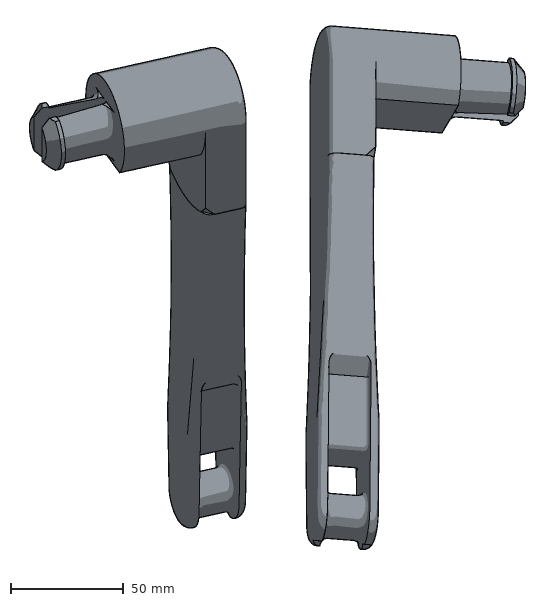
import cadquery as cq
import math


total_height = 245
hub_radius = 23.0
hub_length = 59.5
hub_flat_z = -15.2
block_depth = 20.8
block_bottom_z = -44.5
back_fillet = 4.2
corner_bevel = 4.5
swing_radius = 48.8

grip_top_half_width = 22.8
waist_half_width = 18.6
bend_half_width = 15.5
end_radius = 13.7
bend_z = -166.6
waist_z = (block_bottom_z + bend_z) / 2
bottom_z = hub_radius - total_height
grip_back_y = 3.5
grip_front_y = -24.8
waist_back_y = grip_back_y / 4
waist_front_y = -block_depth + (grip_front_y + block_depth) / 4
grip_fillet = 4.0
notch_half_width = 3.0
notch_depth = 1.2
end_z = bottom_z + math.sqrt(end_radius**2 - notch_half_width**2)

fork_back_y = -1.0
fork_front_y = -20.0
fork_width = fork_back_y - fork_front_y
pocket_top_z = -137.2
mouth_half_width = 17.0
slope_end_z = -139.0
slope_end_half_width = 16.2
floor_top_z = -145.5
web_bottom_z = -181.5
web_half_width = 11.3
web_fillet = 4.2
pocket_fillet = 2.2
spool_radius = 10.0

pin_radius = 13.0
pin_half_height = 13.0
pin_root_fillet = 4.0
barb_radius = 15.2
barb_start_y = -84.5
barb_peak_y = -86.5
pin_tip_radius = 10.0
pin_tip_y = -91.6
slot_root_half_width = 2.5
slot_tip_half_width = 4.7
slot_root_fillet = 1.5

ARC_MIDDLE = 1 - math.sqrt(0.5)


def make_hub():
    """Hub barrel with a flat underneath, and the arm block behind it."""
    flat_half_width = math.sqrt(hub_radius**2 - hub_flat_z**2)
    barrel = (
        cq.Workplane("XZ", origin=(0, -block_depth, 0))
        .moveTo(-flat_half_width, hub_flat_z)
        .lineTo(flat_half_width, hub_flat_z)
        .threePointArc((0, hub_radius), (-flat_half_width, hub_flat_z))
        .close()
        .extrude(hub_length - block_depth)
    )
    block = (
        cq.Workplane("XZ")
        .moveTo(-hub_radius, 0)
        .lineTo(-hub_radius, block_bottom_z)
        .lineTo(hub_radius, block_bottom_z)
        .lineTo(hub_radius, 0)
        .threePointArc((0, hub_radius), (-hub_radius, 0))
        .close()
        .extrude(block_depth)
        .faces(">Y").edges("not <Z").fillet(back_fillet)
    )
    for side in (-1, 1):
        block = block.cut(make_corner_wedge(side))
    return block.union(barrel)


def make_corner_wedge(side):
    """Tetrahedron that bevels one lower front corner of the arm block."""
    corner = cq.Vector(side * hub_radius, -block_depth, block_bottom_z)
    points = [
        corner,
        corner + cq.Vector(-side * corner_bevel, 0, 0),
        corner + cq.Vector(0, corner_bevel, 0),
        corner + cq.Vector(0, 0, corner_bevel),
    ]
    faces = []
    for skipped in points:
        triangle = [point for point in points if point is not skipped]
        faces.append(cq.Face.makeFromWires(cq.Wire.makePolygon(triangle, close=True)))
    return cq.Workplane(cq.Solid.makeSolid(cq.Shell.makeShell(faces)))


def make_grip_outline():
    """Handle as seen along Y: sides curving in to a rounded tip."""
    return (
        cq.Workplane("XZ")
        .moveTo(-grip_top_half_width, block_bottom_z)
        .threePointArc((-waist_half_width, waist_z), (-bend_half_width, bend_z))
        .lineTo(-end_radius, end_z)
        .threePointArc((0, end_z - end_radius), (end_radius, end_z))
        .lineTo(bend_half_width, bend_z)
        .threePointArc((waist_half_width, waist_z), (grip_top_half_width, block_bottom_z))
        .close()
        .extrude(hub_length, both=True)
    )


def make_grip():
    """Tapered handle: front outline crossed with side outline, long edges rounded."""
    below_tip_z = end_z - 2 * end_radius
    profile = (
        cq.Workplane("YZ")
        .moveTo(0, block_bottom_z)
        .threePointArc((waist_back_y, waist_z), (grip_back_y, bend_z))
        .lineTo(grip_back_y, below_tip_z)
        .lineTo(grip_front_y, below_tip_z)
        .lineTo(grip_front_y, bend_z)
        .threePointArc((waist_front_y, waist_z), (-block_depth, block_bottom_z))
        .close()
        .extrude(hub_radius, both=True)
    )
    grip = make_grip_outline().intersect(profile)
    rims = grip.edges("not (|X or |Y)")
    return rims.fillet(grip_fillet)


def make_web():
    """Wall between the cheeks, sloping out to the sides of the grip above the pockets."""
    return (
        cq.Workplane("XZ", origin=(0, fork_back_y, 0))
        .moveTo(0, web_bottom_z)
        .lineTo(web_half_width, web_bottom_z)
        .lineTo(web_half_width, floor_top_z)
        .lineTo(slope_end_half_width, slope_end_z)
        .tangentArcPoint((mouth_half_width, pocket_top_z), relative=False)
        .lineTo(0, pocket_top_z)
        .mirrorY()
        .extrude(fork_width)
        .edges("|Y and <Z")
        .fillet(web_fillet)
    )


def make_fork_cutter():
    """Space between the cheeks around the web, with rounded corners along the web."""
    height = pocket_top_z - bottom_z
    space = (
        cq.Workplane("XZ", origin=(0, fork_back_y, pocket_top_z - height))
        .rect(4 * hub_radius, 2 * height)
        .extrude(fork_width)
    )
    around_web = cq.selectors.BoxSelector(
        (-hub_radius, fork_front_y - pocket_fillet, web_bottom_z - pocket_fillet),
        (hub_radius, fork_back_y + pocket_fillet, pocket_top_z + pocket_fillet),
        boundingbox=True,
    )
    cutter = space.cut(make_web())
    return cutter.edges(around_web).edges("not |Y").fillet(pocket_fillet)


def make_spool():
    """Round bar between the cheeks, flaring out to the cheek rim at both ends."""
    flare = end_radius - spool_radius
    waist = spool_radius + flare * ARC_MIDDLE
    inset = flare * ARC_MIDDLE
    return (
        cq.Workplane("XY", origin=(0, 0, end_z))
        .moveTo(0, fork_back_y)
        .lineTo(end_radius, fork_back_y)
        .threePointArc((waist, fork_back_y - inset), (spool_radius, fork_back_y - flare))
        .lineTo(spool_radius, fork_front_y + flare)
        .threePointArc((waist, fork_front_y + inset), (end_radius, fork_front_y))
        .lineTo(0, fork_front_y)
        .close()
        .revolve(360, (0, 0, 0), (0, 1, 0))
    )


def make_pin():
    """Barbed pin with flared root, flats above and below, split by a widening slot."""
    root_y = -hub_length
    root_inset = pin_root_fillet * ARC_MIDDLE
    body = (
        cq.Workplane("XY")
        .moveTo(0, root_y)
        .lineTo(pin_radius + pin_root_fillet, root_y)
        .threePointArc(
            (pin_radius + root_inset, root_y - root_inset),
            (pin_radius, root_y - pin_root_fillet),
        )
        .lineTo(pin_radius, barb_start_y)
        .lineTo(barb_radius, barb_start_y)
        .lineTo(barb_radius, barb_peak_y)
        .lineTo(pin_tip_radius, pin_tip_y)
        .lineTo(0, pin_tip_y)
        .close()
        .revolve(360, (0, 0, 0), (0, 1, 0))
    )
    flats = cq.Workplane("XZ").rect(4 * barb_radius, 2 * pin_half_height).extrude(-pin_tip_y)
    slot_inset = slot_root_fillet * ARC_MIDDLE
    slot = (
        cq.Workplane("XY")
        .moveTo(slot_root_half_width - slot_root_fillet, root_y)
        .threePointArc(
            (slot_root_half_width - slot_inset, root_y - slot_inset),
            (slot_root_half_width, root_y - slot_root_fillet),
        )
        .lineTo(slot_tip_half_width, pin_tip_y)
        .lineTo(0, pin_tip_y)
        .lineTo(0, root_y)
        .close()
        .extrude(barb_radius, both=True)
    )
    return body.intersect(flats).cut(slot).cut(slot.mirror("YZ"))


def make_tip_notch():
    """Shallow V across the lowest point of the grip."""
    return (
        cq.Workplane("XZ")
        .moveTo(0, bottom_z + notch_depth)
        .lineTo(-2 * notch_half_width, bottom_z - notch_depth)
        .lineTo(2 * notch_half_width, bottom_z - notch_depth)
        .close()
        .extrude(hub_length, both=True)
    )


def make_swing_clearance():
    """Disc in front of the arm block that trims the grip around the hub axis."""
    front_plane = cq.Workplane("XZ", origin=(0, -block_depth, 0))
    return front_plane.circle(swing_radius).extrude(hub_length)


grip = make_grip().cut(make_swing_clearance()).cut(make_fork_cutter())
spool = make_spool().intersect(make_grip_outline())
handle = grip.union(spool).cut(make_tip_notch())
result = make_hub().union(handle).union(make_pin())